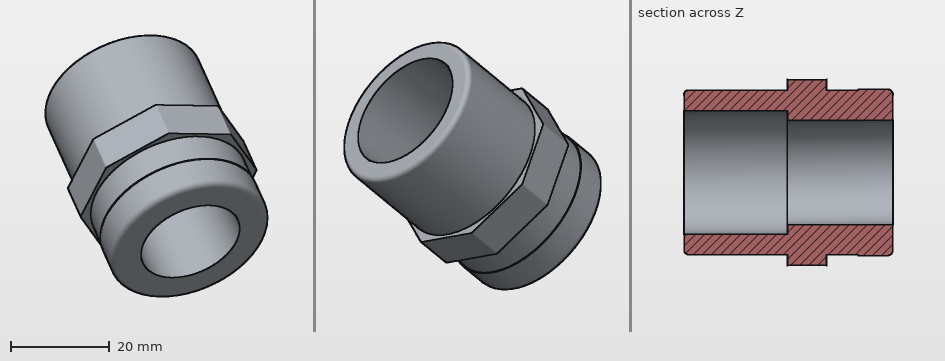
import cadquery as cq
import math

total_length = 42.5
spigot_length = 21.0
nut_width = 8.0
collar_length = 7.1
collar_start = total_length - collar_length
socket_depth = spigot_length

body_diameter = 33.5
collar_diameter = 33.9
socket_diameter = 25.0
bore_diameter = 21.2

nut_sides = 8
nut_across_flats = 35.0
nut_across_corners = nut_across_flats / math.cos(math.pi / nut_sides)
nut_corner_radius = 0.5

spigot_fillet = 1.0
collar_fillet = 1.2


def cylinder(diameter, start, length):
    """Solid cylinder along X that begins at the given X."""
    return cq.Workplane("YZ").workplane(offset=start).circle(diameter / 2).extrude(length)


def rounded_body():
    """Spigot, neck and collar, with both outer end edges rounded."""
    barrel = cylinder(body_diameter, 0, collar_start).faces("<X").edges().fillet(spigot_fillet)
    collar = cylinder(collar_diameter, collar_start, collar_length)
    collar = collar.faces(">X").edges().fillet(collar_fillet)
    return barrel.union(collar)


def octagonal_nut():
    """Octagon with slightly rounded corners, four of them on the Y and Z axes."""
    return (
        cq.Workplane("YZ")
        .workplane(offset=spigot_length)
        .polygon(nut_sides, nut_across_corners)
        .extrude(nut_width)
        .edges("|X")
        .fillet(nut_corner_radius)
    )


socket = cylinder(socket_diameter, 0, socket_depth)
bore = cylinder(bore_diameter, 0, total_length)

result = rounded_body().union(octagonal_nut()).cut(socket).cut(bore)